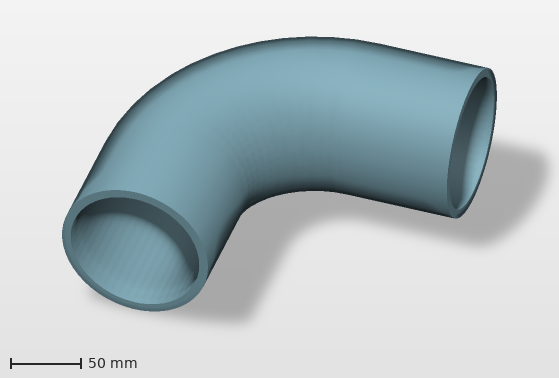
import cadquery as cq

overall_size = 244.0
outer_diameter = 110.0
inner_diameter = 96.9
straight_length = 82.0

outer_radius = outer_diameter / 2
bend_radius = overall_size - straight_length - outer_radius


def elbow(diameter):
    """Solid 90 degree elbow with two straight legs, centred on the bend axis."""
    radius = diameter / 2
    front_leg = (
        cq.Workplane("XZ", origin=(-bend_radius, 0, 0))
        .circle(radius)
        .extrude(straight_length)
    )
    side_leg = (
        cq.Workplane("YZ", origin=(0, bend_radius, 0))
        .circle(radius)
        .extrude(straight_length)
    )
    bend = (
        cq.Workplane("XZ")
        .center(-bend_radius, 0)
        .circle(radius)
        .revolve(90, (bend_radius, 0, 0), (bend_radius, -1, 0))
    )
    return bend.union(front_leg).union(side_leg)


result = elbow(outer_diameter).cut(elbow(inner_diameter))